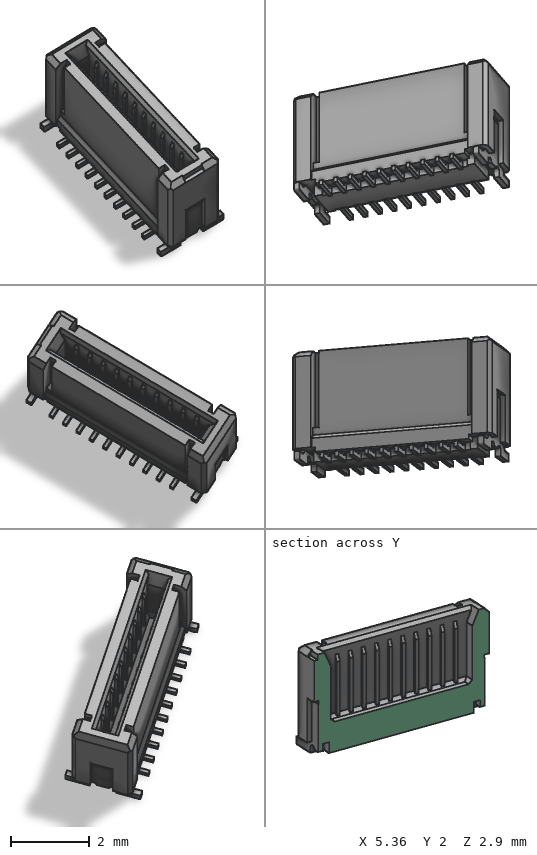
import cadquery as cq

LENGTH = 5.36
TOP = 2.9
BOTTOM = 0.345
END_WIDTH = 1.6
TOP_CHAMFER = 0.15
CORNER_CHAMFER = 0.1

WALL_HALF_LENGTH = 2.16
WALL_WIDTH = 1.295
SKIRT_WIDTH = 1.505
SKIRT_TOP = 0.695
SKIRT_SLOPE = (SKIRT_WIDTH - WALL_WIDTH) / 2
SKIRT_BOTTOM = 0.23
SKIRT_LOWER_LENGTH = 4.125
RELIEF_INNER_X = 2.0
RELIEF_INNER_Y = 0.455
RELIEF_FLOOR = 0.89

MOUTH_LENGTH = 4.705
MOUTH_WIDTH = 0.71
CAVITY_LENGTH = 2 * WALL_HALF_LENGTH
CAVITY_WIDTH = 0.515
MOUTH_CHAMFER = (MOUTH_WIDTH - CAVITY_WIDTH) / 2
END_SLOPE_DEPTH = 0.4
CAVITY_FLOOR = RELIEF_FLOOR
FLOOR_LENGTH = 4.085
FLOOR_WIDTH = 0.32
FLOOR_BEVEL = (CAVITY_WIDTH - FLOOR_WIDTH) / 2

KEY_WIDTH = 0.6
KEY_DEPTH = 0.11
RECESS_TOP = 1.58
RECESS_DEPTH = 0.15

BASE_BOTTOM = 0.04
BASE_LENGTH = 4.415
BASE_END_WIDTH = 0.91
BASE_WIDTH = 0.805
BASE_MIDDLE_LENGTH = 2 * RELIEF_INNER_X

CONTACTS_PER_ROW = 10
CONTACT_ROW_SPAN = 3.6
CONTACT_PITCH = CONTACT_ROW_SPAN / (CONTACTS_PER_ROW - 1)
CONTACT_WIDTH = 0.1
TAIL_SPAN = 2.0
TAIL_HEIGHT = 0.135
SHANK_OUTER_Y = 0.53
SHANK_INNER_Y = 0.375
BUMP_TIP_Y = 0.195
BUMP_TOP = 2.61
BUMP_RAMP_HEIGHT = 0.175

PLATE_CENTER_X = 2.47
PLATE_THICKNESS = 0.15
PLATE_TOP = 1.5
FOOT_HEIGHT = 0.215
FOOT_SLOPE_OUTER_Y = 0.7
FOOT_EDGE_RADIUS = 0.05
NOTCH_HALF_WIDTH = 0.355
NOTCH_ROUND_RADIUS = 0.095
NOTCH_ROUND_CENTER_Z = 0.15


def block(length, width, z_low, z_high, x=0, y=0):
    """Upright box centred on (x, y) between two heights."""
    return cq.Workplane("XY").box(length, width, z_high - z_low).translate((x, y, (z_low + z_high) / 2))


def taper(lower_size, upper_size, z_low, z_high):
    """Four-sided funnel between two centred rectangles."""
    return (
        cq.Workplane("XY", origin=(0, 0, z_low)).rect(*lower_size)
        .workplane(offset=z_high - z_low).rect(*upper_size)
        .loft(ruled=True)
    )


def side_profile(points, length, x=0):
    """Closed (y, z) outline extruded along X, centred on x."""
    return cq.Workplane("YZ", origin=(x - length / 2, 0, 0)).polyline(points).close().extrude(length)


def make_shell():
    blank = block(LENGTH, END_WIDTH, BOTTOM, TOP)
    shell = blank.faces(">Z").edges().chamfer(TOP_CHAMFER)
    shell = shell.intersect(blank.edges("|Z").chamfer(CORNER_CHAMFER))

    for side in (-1, 1):
        outline = [
            (side * END_WIDTH, BOTTOM),
            (side * SKIRT_WIDTH / 2, BOTTOM),
            (side * SKIRT_WIDTH / 2, SKIRT_TOP - SKIRT_SLOPE),
            (side * WALL_WIDTH / 2, SKIRT_TOP),
            (side * WALL_WIDTH / 2, TOP),
            (side * END_WIDTH, TOP),
        ]
        shell = shell.cut(side_profile(outline, 2 * WALL_HALF_LENGTH))
    shell = shell.union(block(SKIRT_LOWER_LENGTH, SKIRT_WIDTH, SKIRT_BOTTOM, BOTTOM))

    slot_length = WALL_HALF_LENGTH - RELIEF_INNER_X
    slot_width = END_WIDTH / 2 - RELIEF_INNER_Y
    for x_side in (-1, 1):
        for y_side in (-1, 1):
            slot_x = x_side * (WALL_HALF_LENGTH + RELIEF_INNER_X) / 2
            slot_y = y_side * (RELIEF_INNER_Y + slot_width / 2)
            shell = shell.cut(block(slot_length, slot_width, RELIEF_FLOOR, TOP, slot_x, slot_y))
    return shell


def make_cavity():
    bevel_top = CAVITY_FLOOR + FLOOR_BEVEL
    cavity = taper((FLOOR_LENGTH, FLOOR_WIDTH), (CAVITY_LENGTH, CAVITY_WIDTH), CAVITY_FLOOR, bevel_top)
    cavity = cavity.union(block(CAVITY_LENGTH, CAVITY_WIDTH, bevel_top, TOP))
    slope_bottom = TOP - END_SLOPE_DEPTH
    lead_in = taper((CAVITY_LENGTH, MOUTH_WIDTH), (MOUTH_LENGTH, MOUTH_WIDTH), slope_bottom, TOP)
    chamfer_bottom = TOP - MOUTH_CHAMFER
    lead_in_section = [
        (-CAVITY_WIDTH / 2, slope_bottom),
        (CAVITY_WIDTH / 2, slope_bottom),
        (CAVITY_WIDTH / 2, chamfer_bottom),
        (MOUTH_WIDTH / 2, TOP),
        (-MOUTH_WIDTH / 2, TOP),
        (-CAVITY_WIDTH / 2, chamfer_bottom),
    ]
    return cavity.union(lead_in.intersect(side_profile(lead_in_section, LENGTH)))


def cut_polarity_step(shell):
    """Replace the +X top chamfer by a square step across the middle."""
    chamfer_foot = TOP - TOP_CHAMFER
    step_edge_x = LENGTH / 2 - KEY_DEPTH
    edge_filler = block(TOP_CHAMFER, KEY_WIDTH, chamfer_foot, TOP, step_edge_x - TOP_CHAMFER / 2)
    step_space = block(KEY_DEPTH, KEY_WIDTH, chamfer_foot, TOP, step_edge_x + KEY_DEPTH / 2)
    return shell.union(edge_filler).cut(step_space)


def make_recess(side):
    return block(RECESS_DEPTH, KEY_WIDTH, BOTTOM, RECESS_TOP, side * (LENGTH - RECESS_DEPTH) / 2)


def make_base():
    base = block(BASE_LENGTH, BASE_END_WIDTH, BASE_BOTTOM, BOTTOM)
    for side in (-1, 1):
        setback = (BASE_END_WIDTH - BASE_WIDTH) / 2
        y = side * (BASE_END_WIDTH - setback) / 2
        base = base.cut(block(BASE_MIDDLE_LENGTH, setback, BASE_BOTTOM, SKIRT_BOTTOM, 0, y))
    return base


def make_contact(x, side):
    tail = [
        (side * TAIL_SPAN / 2, 0),
        (side * TAIL_SPAN / 2, TAIL_HEIGHT),
        (side * SHANK_OUTER_Y, TAIL_HEIGHT),
        (side * SHANK_OUTER_Y, BOTTOM),
        (side * SHANK_INNER_Y, BOTTOM),
        (side * SHANK_INNER_Y, 0),
    ]
    bump = [
        (side * CAVITY_WIDTH / 2, BUMP_TOP),
        (side * BUMP_TIP_Y, BUMP_TOP - BUMP_RAMP_HEIGHT),
        (side * BUMP_TIP_Y, CAVITY_FLOOR),
        (side * MOUTH_WIDTH / 2, CAVITY_FLOOR),
        (side * MOUTH_WIDTH / 2, BUMP_TOP),
    ]
    return side_profile(tail, CONTACT_WIDTH, x).union(side_profile(bump, CONTACT_WIDTH, x))


def make_hold_down(x):
    slope_inner_y = FOOT_SLOPE_OUTER_Y - (BOTTOM - FOOT_HEIGHT)
    outline = [
        (-TAIL_SPAN / 2, 0),
        (-TAIL_SPAN / 2, FOOT_HEIGHT),
        (-FOOT_SLOPE_OUTER_Y, FOOT_HEIGHT),
        (-slope_inner_y, BOTTOM),
        (-KEY_WIDTH / 2, BOTTOM),
        (-KEY_WIDTH / 2, PLATE_TOP),
        (KEY_WIDTH / 2, PLATE_TOP),
        (KEY_WIDTH / 2, BOTTOM),
        (slope_inner_y, BOTTOM),
        (FOOT_SLOPE_OUTER_Y, FOOT_HEIGHT),
        (TAIL_SPAN / 2, FOOT_HEIGHT),
        (TAIL_SPAN / 2, 0),
    ]
    plate = side_profile(outline, PLATE_THICKNESS, x)
    plate = plate.cut(block(PLATE_THICKNESS, 2 * NOTCH_HALF_WIDTH, 0, NOTCH_ROUND_CENTER_Z, x))
    for side in (-1, 1):
        round_y = side * (NOTCH_HALF_WIDTH - NOTCH_ROUND_RADIUS)
        rounding = (
            cq.Workplane("YZ", origin=(x - PLATE_THICKNESS / 2, round_y, NOTCH_ROUND_CENTER_Z))
            .circle(NOTCH_ROUND_RADIUS).extrude(PLATE_THICKNESS)
        )
        plate = plate.cut(rounding)
    return plate.edges("|X and <Z").edges("<Y or >Y").fillet(FOOT_EDGE_RADIUS)


result = cut_polarity_step(make_shell()).cut(make_cavity()).union(make_base())

for row_side in (-1, 1):
    for index in range(CONTACTS_PER_ROW):
        contact_x = index * CONTACT_PITCH - CONTACT_ROW_SPAN / 2
        result = result.union(make_contact(contact_x, row_side))

for end_side in (-1, 1):
    result = result.cut(make_recess(end_side)).union(make_hold_down(end_side * PLATE_CENTER_X))